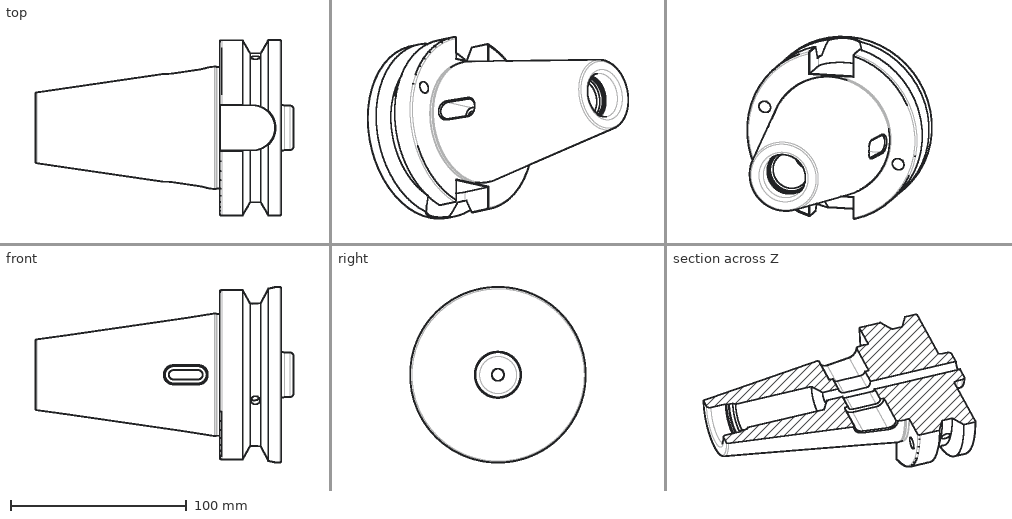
import cadquery as cq
import math


GAUGE_RADIUS = 69.85 / 2
TAPER_HALF_SLOPE = 7 / 24 / 2
TAPER_LENGTH = 101.8
TAPER_END_FILLET = 1.0
SMALL_RADIUS = GAUGE_RADIUS - TAPER_HALF_SLOPE * TAPER_LENGTH

NECK_LAND = 0.6
NECK_RELIEF_END = 1.4
NECK_RELIEF_DEPTH = 0.25
NECK_RADIUS = GAUGE_RADIUS - NECK_RELIEF_DEPTH
NECK_FILLET = 0.3

FLANGE_START = 3.0
FLANGE_END = 38.0
FLANGE_RADIUS = 50.0
FLANGE_FILLET = 1.0
GROOVE_CENTER = 23.3
GROOVE_BOTTOM_RADIUS = 42.5
GROOVE_TOP_WIDTH = 14.7
GROOVE_FLANK_ANGLE = 30.0

SPIGOT_LENGTH = 7.0
SPIGOT_RADIUS = 12.75
SPIGOT_END_FILLET = 2.2
SPIGOT_ROOT_LENGTH = 1.8
SPIGOT_ROOT_FLARE = 0.5

DRIVE_SLOT_WIDTH = 25.7
DRIVE_SLOT_FLOOR = 35.4
DRIVE_SLOT_END = 34.4
DRIVE_SLOT_CHAMFER = 0.4

BORE_MOUTH_RADIUS = 14.5
BORE_MOUTH_FILLET = 2.0
BORE_RADIUS = BORE_MOUTH_RADIUS - BORE_MOUTH_FILLET
BORE_DEPTH = 10.9
THREAD_RADIUS = 12.0
THREAD_DEPTH = 12.6
THREAD_NECK_RADIUS = 11.7
THREAD_NECK_DEPTH = 15.0
THREAD_CORE_RADIUS = 10.45
THREAD_CORE_DEPTH = 62.0
DRILL_POINT_ANGLE = 118.0
THROUGH_RADIUS = 3.4

SIDE_SLOT_CENTER = -16.3
POCKET_LENGTH = 23.6
POCKET_WIDTH = 9.6
POCKET_FLOOR = 13.0
POCKET_EDGE_CHAMFER = 0.8
THROUGH_SLOT_LENGTH = 19.2
THROUGH_SLOT_WIDTH = 5.2

COOLANT_ANGLE = 20.0
COOLANT_PITCH_RADIUS = 41.8
COOLANT_DIAMETER = 6.4
COOLANT_TILT = 23.0
CROSS_HOLE_DIAMETER = 5.0

TOLERANCE = 0.05


def fillet_midpoint(corner_x, corner_radius, fillet, side):
    """Middle of a quarter-round on a square outer corner that faces -X (side -1) or +X (side 1)."""
    setback = fillet * (1 - math.sqrt(0.5))
    return (corner_x - side * setback, corner_radius - setback)


def make_body():
    """Turned outer shape: taper, neck, grooved flange and spigot."""
    groove_half_top = GROOVE_TOP_WIDTH / 2
    groove_depth = FLANGE_RADIUS - GROOVE_BOTTOM_RADIUS
    groove_half_bottom = groove_half_top - groove_depth * math.tan(math.radians(GROOVE_FLANK_ANGLE))
    face_radius = FLANGE_RADIUS - FLANGE_FILLET
    spigot_end = FLANGE_END + SPIGOT_LENGTH
    profile = (
        cq.Workplane("XY")
        .moveTo(-TAPER_LENGTH, 0)
        .lineTo(-TAPER_LENGTH, SMALL_RADIUS)
        .lineTo(0, GAUGE_RADIUS)
        .lineTo(NECK_LAND, GAUGE_RADIUS)
        .lineTo(NECK_RELIEF_END, NECK_RADIUS)
        .lineTo(FLANGE_START - NECK_FILLET, NECK_RADIUS)
        .radiusArc((FLANGE_START, NECK_RADIUS + NECK_FILLET), -NECK_FILLET)
        .lineTo(FLANGE_START, face_radius)
        .threePointArc(
            fillet_midpoint(FLANGE_START, FLANGE_RADIUS, FLANGE_FILLET, -1),
            (FLANGE_START + FLANGE_FILLET, FLANGE_RADIUS),
        )
        .lineTo(GROOVE_CENTER - groove_half_top, FLANGE_RADIUS)
        .lineTo(GROOVE_CENTER - groove_half_bottom, GROOVE_BOTTOM_RADIUS)
        .lineTo(GROOVE_CENTER + groove_half_bottom, GROOVE_BOTTOM_RADIUS)
        .lineTo(GROOVE_CENTER + groove_half_top, FLANGE_RADIUS)
        .lineTo(FLANGE_END - FLANGE_FILLET, FLANGE_RADIUS)
        .threePointArc(
            fillet_midpoint(FLANGE_END, FLANGE_RADIUS, FLANGE_FILLET, 1),
            (FLANGE_END, face_radius),
        )
        .lineTo(FLANGE_END, SPIGOT_RADIUS + SPIGOT_ROOT_FLARE)
        .lineTo(FLANGE_END + SPIGOT_ROOT_LENGTH, SPIGOT_RADIUS)
        .lineTo(spigot_end - SPIGOT_END_FILLET, SPIGOT_RADIUS)
        .threePointArc(
            fillet_midpoint(spigot_end, SPIGOT_RADIUS, SPIGOT_END_FILLET, 1),
            (spigot_end, SPIGOT_RADIUS - SPIGOT_END_FILLET),
        )
        .lineTo(spigot_end, 0)
        .close()
    )
    body = profile.revolve(360, (0, 0, 0), (1, 0, 0))
    return body.faces("<X").edges().fillet(TAPER_END_FILLET)


def make_bore():
    """Stepped bore from the small end of the taper, with a hole on through the spigot."""
    bore_end = -TAPER_LENGTH + BORE_DEPTH
    thread_end = -TAPER_LENGTH + THREAD_DEPTH
    neck_end = -TAPER_LENGTH + THREAD_NECK_DEPTH
    core_end = -TAPER_LENGTH + THREAD_CORE_DEPTH
    point_length = (THREAD_CORE_RADIUS - THROUGH_RADIUS) / math.tan(math.radians(DRILL_POINT_ANGLE / 2))
    front_end = FLANGE_END + SPIGOT_LENGTH
    fillet_middle = BORE_MOUTH_FILLET * (1 - math.sqrt(0.5))
    profile = (
        cq.Workplane("XY")
        .moveTo(-TAPER_LENGTH, 0)
        .lineTo(-TAPER_LENGTH, BORE_MOUTH_RADIUS)
        .threePointArc(
            (-TAPER_LENGTH + fillet_middle, BORE_RADIUS + fillet_middle),
            (-TAPER_LENGTH + BORE_MOUTH_FILLET, BORE_RADIUS),
        )
        .lineTo(bore_end, BORE_RADIUS)
        .lineTo(bore_end + BORE_RADIUS - THREAD_RADIUS, THREAD_RADIUS)
        .lineTo(thread_end, THREAD_RADIUS)
        .lineTo(thread_end + THREAD_RADIUS - THREAD_NECK_RADIUS, THREAD_NECK_RADIUS)
        .lineTo(neck_end, THREAD_NECK_RADIUS)
        .lineTo(neck_end + THREAD_NECK_RADIUS - THREAD_CORE_RADIUS, THREAD_CORE_RADIUS)
        .lineTo(core_end, THREAD_CORE_RADIUS)
        .lineTo(core_end + point_length, THROUGH_RADIUS)
        .lineTo(front_end, THROUGH_RADIUS)
        .lineTo(front_end, 0)
        .close()
    )
    return profile.revolve(360, (0, 0, 0), (1, 0, 0))


def on_both_sides(cutter):
    """Return the cutter together with a copy turned half a turn about the X axis."""
    return cutter.union(cutter.rotate((0, 0, 0), (1, 0, 0), 180))


def make_drive_slots():
    """Round-ended slots open towards the taper, at the top and bottom of the flange."""
    half_width = DRIVE_SLOT_WIDTH / 2
    arc_start = DRIVE_SLOT_END - half_width
    slot = (
        cq.Workplane("XY", origin=(0, 0, DRIVE_SLOT_FLOOR))
        .moveTo(FLANGE_START, -half_width)
        .lineTo(arc_start, -half_width)
        .threePointArc((DRIVE_SLOT_END, 0), (arc_start, half_width))
        .lineTo(FLANGE_START, half_width)
        .close()
        .extrude(FLANGE_RADIUS - DRIVE_SLOT_FLOOR)
    )
    return on_both_sides(slot)


def side_slot(length, width, start, end):
    """Round-ended slot along X, cut between two distances on the -Y side."""
    plane = cq.Workplane("XZ", origin=(SIDE_SLOT_CENTER, -start, 0))
    return plane.slot2D(length, width).extrude(end - start)


def make_side_slots():
    """Narrow slot through the taper, with a wide pocket on each side."""
    pocket = side_slot(POCKET_LENGTH, POCKET_WIDTH, POCKET_FLOOR, GAUGE_RADIUS)
    narrow = side_slot(THROUGH_SLOT_LENGTH, THROUGH_SLOT_WIDTH, 0, GAUGE_RADIUS)
    return on_both_sides(pocket.union(narrow))


def make_coolant_holes():
    """Tilted holes from the flange face, each met by a radial hole from the groove."""
    reach = GROOVE_CENTER - FLANGE_START
    tilt = math.radians(COOLANT_TILT)
    direction = cq.Vector(math.cos(tilt), -math.sin(tilt), 0)
    mouth = cq.Vector(FLANGE_START, COOLANT_PITCH_RADIUS, 0)
    overrun = COOLANT_DIAMETER
    length = reach / math.cos(tilt) + CROSS_HOLE_DIAMETER / 2
    tilted = cq.Solid.makeCylinder(
        COOLANT_DIAMETER / 2, length + overrun, mouth - direction * overrun, direction
    )
    cross_bottom = COOLANT_PITCH_RADIUS - reach * math.tan(tilt)
    cross = cq.Solid.makeCylinder(
        CROSS_HOLE_DIAMETER / 2,
        FLANGE_RADIUS - cross_bottom,
        cq.Vector(GROOVE_CENTER, cross_bottom, 0),
        cq.Vector(0, 1, 0),
    )
    hole = cq.Workplane(tilted).union(cq.Workplane(cross))
    return on_both_sides(hole.rotate((0, 0, 0), (1, 0, 0), COOLANT_ANGLE))


def is_drive_slot_rim(edge):
    """True for a drive slot edge on the rear face or the outer diameter of the flange."""
    middle = edge.Center()
    box = edge.BoundingBox()
    groove_start = GROOVE_CENTER - GROOVE_TOP_WIDTH / 2
    groove_end = GROOVE_CENTER + GROOVE_TOP_WIDTH / 2
    in_slot_width = abs(middle.y) < DRIVE_SLOT_WIDTH / 2 + TOLERANCE
    above_floor = abs(middle.z) > DRIVE_SLOT_FLOOR - TOLERANCE
    behind_groove = box.xmin > FLANGE_START - TOLERANCE and box.xmax < groove_start + TOLERANCE
    ahead_of_groove = box.xmin > groove_end - TOLERANCE and box.xmax < DRIVE_SLOT_END + TOLERANCE
    return in_slot_width and above_floor and (behind_groove or ahead_of_groove)


def is_pocket_rim(edge):
    """True for an edge where a side pocket opens on the taper."""
    box = edge.BoundingBox()
    pocket_half = POCKET_LENGTH / 2 + TOLERANCE
    starts_in_pocket = box.xmin > SIDE_SLOT_CENTER - pocket_half
    ends_in_pocket = box.xmax < SIDE_SLOT_CENTER + pocket_half
    inner_distance = min(abs(box.ymin), abs(box.ymax))
    return starts_in_pocket and ends_in_pocket and inner_distance > POCKET_FLOOR + TOLERANCE


def chamfer_edges(part, belongs, size):
    """Chamfer every edge of the part that the test accepts."""
    solid = part.val()
    chosen = [edge for edge in solid.Edges() if belongs(edge)]
    return cq.Workplane(solid.chamfer(size, None, chosen))


part = make_body().cut(make_drive_slots())
part = chamfer_edges(part, is_drive_slot_rim, DRIVE_SLOT_CHAMFER)
part = part.cut(make_side_slots())
part = chamfer_edges(part, is_pocket_rim, POCKET_EDGE_CHAMFER)
result = part.cut(make_bore()).cut(make_coolant_holes())